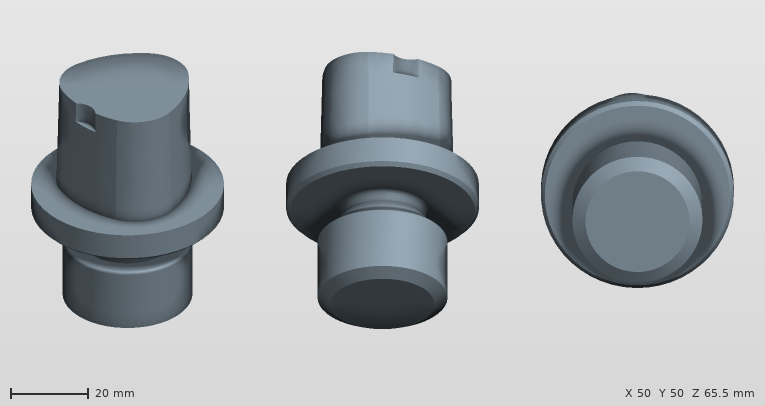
import cadquery as cq
import math

body_chamfer_height = 1.95
body_height = 19.0
collar_top = 22.5
neck_bottom = 24.5
flange_bottom = 27.5
flange_thickness = 8.0
flange_top = flange_bottom + flange_thickness

body_radius = 33.7 / 2
body_chamfer_angle = 30.0
body_top_round = 0.8
collar_radius = 25.0 / 2
neck_radius = 22.5 / 2
neck_fillet = 1.0
flange_radius = 50.0 / 2
flange_chamfer = 1.0

quarter_arc_inset = 1 - math.sqrt(0.5)

shank_height = 30.0
shank_top = flange_top + shank_height
lobe_count = 3
first_lobe_angle = 90.0
lobe_reach = 18.65
flank_distance = 16.3
lobe_radius = 11.8
taper_ratio = 1 / 20
taper_inset = shank_height * taper_ratio / 2

notch_depth = 5.6
notch_radius = 5.0
notch_back_distance = 13.9


def polar(radius, angle):
    """Point at a radius from the axis and an angle in degrees."""
    return (radius * math.cos(math.radians(angle)), radius * math.sin(math.radians(angle)))


def turned_body():
    """Body, collar, neck and flange as one revolved profile."""
    bottom_radius = body_radius - body_chamfer_height / math.tan(math.radians(body_chamfer_angle))
    fillet_inset = neck_fillet * quarter_arc_inset
    round_inset = body_top_round * quarter_arc_inset
    profile = (
        cq.Workplane("XZ")
        .lineTo(bottom_radius, 0)
        .lineTo(body_radius, body_chamfer_height)
        .lineTo(body_radius, body_height - body_top_round)
        .threePointArc(
            (body_radius - round_inset, body_height - round_inset),
            (body_radius - body_top_round, body_height),
        )
        .lineTo(collar_radius, body_height)
        .lineTo(collar_radius, collar_top)
        .lineTo(neck_radius, neck_bottom)
        .lineTo(neck_radius, flange_bottom - neck_fillet)
        .threePointArc(
            (neck_radius + fillet_inset, flange_bottom - fillet_inset),
            (neck_radius + neck_fillet, flange_bottom),
        )
        .lineTo(flange_radius - flange_chamfer, flange_bottom)
        .lineTo(flange_radius, flange_bottom + flange_chamfer)
        .lineTo(flange_radius, flange_top)
        .lineTo(0, flange_top)
        .close()
    )
    return profile.revolve(360, (0, 0, 0), (0, 1, 0))


def lobed_outline(workplane, inset):
    """Add the closed outline of tangent lobe and flank arcs, offset inwards by the inset."""
    half_pitch = 180 / lobe_count
    lobe_offset = lobe_reach - lobe_radius
    across = lobe_offset * math.sin(math.radians(half_pitch))
    along = flank_distance - lobe_offset * math.cos(math.radians(half_pitch))
    flank_radius = (across**2 + along**2 - lobe_radius**2) / (2 * (along - lobe_radius))
    lobe_half_angle = half_pitch - math.degrees(math.asin(across / (flank_radius - lobe_radius)))

    def lobe_point(axis_angle, turn):
        center_x, center_y = polar(lobe_offset, axis_angle)
        reach_x, reach_y = polar(lobe_radius - inset, axis_angle + turn)
        return (center_x + reach_x, center_y + reach_y)

    outline = workplane.moveTo(*lobe_point(first_lobe_angle, -lobe_half_angle))
    for index in range(lobe_count):
        axis_angle = first_lobe_angle + index * 2 * half_pitch
        next_axis = axis_angle + 2 * half_pitch
        flank_middle = polar(flank_distance - inset, axis_angle + half_pitch)
        outline = outline.threePointArc(
            lobe_point(axis_angle, 0), lobe_point(axis_angle, lobe_half_angle)
        )
        outline = outline.threePointArc(flank_middle, lobe_point(next_axis, -lobe_half_angle))
    return outline.close()


def tapered_shank():
    """Lobed shank narrowing from the flange to its flat top."""
    base = lobed_outline(cq.Workplane("XY").workplane(offset=flange_top), 0)
    top = lobed_outline(base.workplane(offset=shank_height), taper_inset)
    return top.loft(ruled=True)


def notch():
    """Vertical cylinder that cuts the notch."""
    return (
        cq.Workplane("XY")
        .workplane(offset=shank_top - notch_depth)
        .center(0, -(notch_back_distance + notch_radius))
        .circle(notch_radius)
        .extrude(notch_depth)
    )


result = turned_body().union(tapered_shank()).cut(notch())